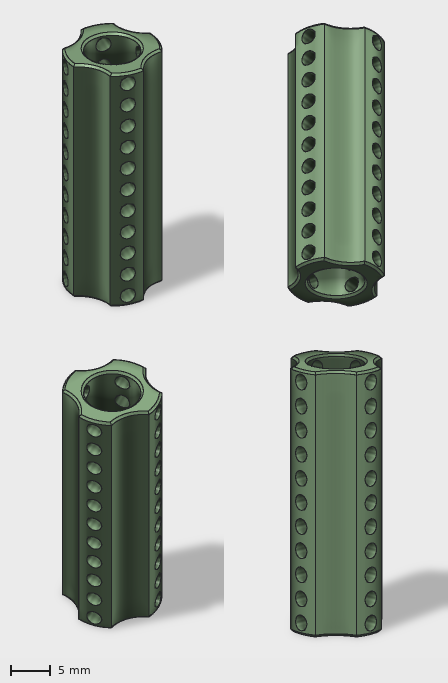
import cadquery as cq
import math

length = 34.38
outer_diameter = 12.5
bore_diameter = 7.2
chamfer = 0.3

lobe_count = 4
lobe_width = 4.45
flute_depth_radius = 4.95

hole_diameter = 2.0
holes_per_row = 11
hole_pitch = length / holes_per_row

outer_radius = outer_diameter / 2
lobe_half_angle = math.asin(lobe_width / outer_diameter)
lobe_step = 2 * math.pi / lobe_count


def polar(radius, angle):
    return (radius * math.cos(angle), radius * math.sin(angle))


def lobed_body():
    """Prism whose section alternates convex lobes and concave flutes."""
    outline = cq.Workplane("XY").moveTo(*polar(outer_radius, -lobe_half_angle))
    for index in range(lobe_count):
        middle = index * lobe_step
        next_middle = middle + lobe_step
        outline = outline.threePointArc(
            polar(outer_radius, middle),
            polar(outer_radius, middle + lobe_half_angle),
        )
        outline = outline.threePointArc(
            polar(flute_depth_radius, middle + lobe_step / 2),
            polar(outer_radius, next_middle - lobe_half_angle),
        )
    return outline.close().extrude(length)


def hole_row(plane):
    """Column of evenly spaced holes running right through along the plane normal."""
    return (
        cq.Workplane(plane)
        .center(0, length / 2)
        .rarray(0.35, hole_pitch, 1, holes_per_row)
        .circle(hole_diameter / 2)
        .extrude(outer_diameter, both=True)
    )


bore = cq.Workplane("XY").circle(bore_diameter / 2).extrude(length)
tube = lobed_body().cut(bore)

tube = tube.faces("<Z or >Z").edges().chamfer(chamfer)

result = tube.cut(hole_row("XZ")).cut(hole_row("YZ"))